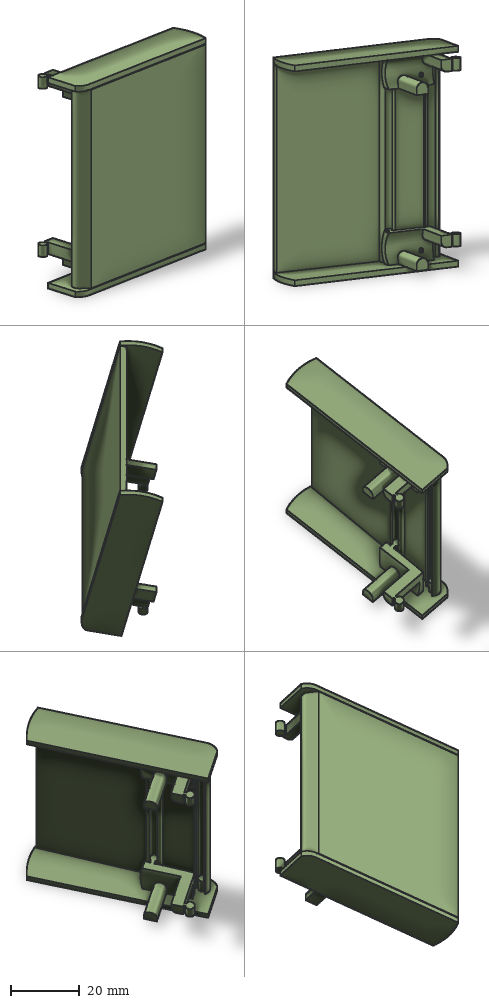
import cadquery as cq
import math


overall_height = 65.9
overall_depth = 55.8
overall_reach = 19.65
plate_thickness = 1.8
plate_width = 12.7
plate_bow = 1.1
corner_radius = 4.55
corner_start = 3.8
inner_half_height = overall_height / 2 - plate_thickness
peg_end = 26.35

panel_gap = 0.2
panel_half_height = inner_half_height - panel_gap
panel_top = overall_depth - plate_bow
panel_thickness = 2.0
panel_taper = 1.6
taper_slope = math.tan(math.radians(panel_taper))

channel_x = -3.95
channel_radius = 2.4
bore_radius = 1.25
peg_radius = 1.2
hinge_y = 4.1
hinge_lip_angle = 36.0
hinge_lip_rise = 0.45
socket_y = 18.65
lip_radius = 0.7

clip_height = 9.6
clip_bottoms = (21.35, -31.1)
base_start = 5.8
base_end = 20.95
base_end_bow = 0.8
base_front = -8.55
base_hollow = 0.8
base_back = -6.25
limb_root = -6.9
limb_tip = -19.25
arm_end = 9.4
arm_height = 3.7
arm_fillet = 2.0
pin_diameter = 2.7
pin_x = pin_diameter / 2 - overall_reach
pin_y = 3.95
pin_neck = 0.85
rest_y = 15.7
rest_width = 3.95
rest_height = 3.6
rest_straight = 1.8
hole_diameter = 1.4
hole_y = 9.7
hole_rise = 3.1
hole_floor = -6.9
plug_neck = 1.3


def block(x_range, y_range, z_range):
    """Axis-aligned box between pairs of coordinates."""
    lows, highs = zip(x_range, y_range, z_range)
    size = [high - low for low, high in zip(lows, highs)]
    return cq.Workplane("XY").box(*size, centered=False).translate(lows)


def rod(x, y, radius, z_low, z_high):
    """Vertical cylinder between two heights."""
    return cq.Workplane("XY", origin=(x, y, z_low)).circle(radius).extrude(z_high - z_low)


def panel_front(y):
    """X of the panel's tapering front face."""
    return -panel_thickness - (panel_top - y) * taper_slope


def make_plate(side):
    corner_drop = math.sqrt(corner_radius**2 - corner_start**2)
    corner_x = corner_drop - corner_radius
    middle = math.atan2(corner_start, corner_drop) / 2
    corner_middle = (
        corner_radius * (math.cos(middle) - 1),
        corner_start - corner_radius * math.sin(middle),
    )
    plate = (
        cq.Workplane("XY", origin=(0, 0, inner_half_height))
        .moveTo(-plate_width, 0)
        .lineTo(corner_x, 0)
        .threePointArc(corner_middle, (0, corner_start))
        .lineTo(0, panel_top)
        .threePointArc((-plate_width / 2, overall_depth), (-plate_width, panel_top))
        .close()
        .extrude(plate_thickness)
    )
    plate = plate.union(rod(channel_x, hinge_y, peg_radius, peg_end, overall_height / 2))
    return plate if side > 0 else plate.mirror("XY")


def extrude_panel(outline):
    return outline.extrude(2 * panel_half_height)


def panel_plane():
    return cq.Workplane("XY", origin=(0, 0, -panel_half_height))


def make_sheet():
    diagonal = channel_radius * math.sqrt(0.5)
    tangent_x = channel_x + diagonal
    tangent_y = hinge_y - diagonal
    return extrude_panel(
        panel_plane()
        .moveTo(0, panel_top)
        .lineTo(0, tangent_y - tangent_x)
        .lineTo(tangent_x, tangent_y)
        .lineTo(channel_x, hinge_y)
        .lineTo(panel_front(hinge_y), hinge_y)
        .lineTo(panel_front(panel_top), panel_top)
        .close()
    )


def add_hinge_channel(panel):
    tube = rod(channel_x, hinge_y, channel_radius, -panel_half_height, panel_half_height)
    lip_x = channel_x - hinge_lip_rise
    reach = 2 * channel_radius
    hook = math.radians(hinge_lip_angle)
    mouth = extrude_panel(
        panel_plane()
        .moveTo(channel_x, hinge_y)
        .lineTo(channel_x, hinge_y + bore_radius)
        .lineTo(lip_x, hinge_y + bore_radius + hinge_lip_rise)
        .lineTo(lip_x, hinge_y + reach)
        .lineTo(channel_x - reach, hinge_y + reach)
        .lineTo(channel_x - reach * math.cos(hook), hinge_y - reach * math.sin(hook))
        .close()
    )
    bore = rod(channel_x, hinge_y, bore_radius, -panel_half_height, panel_half_height)
    return panel.union(tube).cut(mouth).cut(bore)


def add_socket_channel(panel):
    wall_low = socket_y - channel_radius
    wall_high = socket_y + channel_radius
    z_range = (-panel_half_height, panel_half_height)
    panel = panel.union(block((channel_x, -panel_thickness), (wall_low, wall_high), z_range))
    for direction in (-1, 1):
        lip_y = socket_y + direction * (channel_radius - lip_radius)
        panel = panel.union(rod(channel_x, lip_y, lip_radius, *z_range))
    return panel.cut(rod(channel_x, socket_y, bore_radius, *z_range))


def make_panel():
    return add_socket_channel(add_hinge_channel(make_sheet()))


def clip_back(y):
    """X of the base's back face, which is parallel to the panel's front."""
    return base_back + (y - base_start) * taper_slope


def make_base():
    tip = base_end + base_end_bow
    side_outline = (
        cq.Workplane("YZ", origin=(base_front, 0, 0))
        .moveTo(base_start, 0)
        .lineTo(base_end, 0)
        .threePointArc((tip, clip_height / 2), (base_end, clip_height))
        .lineTo(base_start, clip_height)
        .close()
        .extrude(clip_back(tip) - base_front)
    )
    top_outline = (
        cq.Workplane("XY")
        .moveTo(base_front, base_start)
        .lineTo(clip_back(base_start), base_start)
        .lineTo(clip_back(tip), tip)
        .lineTo(base_front, tip)
        .close()
        .extrude(clip_height)
    )
    hollow = (
        cq.Workplane("XZ")
        .moveTo(base_front, 0)
        .threePointArc((base_front + base_hollow, clip_height / 2), (base_front, clip_height))
        .close()
        .extrude(-tip)
    )
    return side_outline.intersect(top_outline).cut(hollow)


def make_arm():
    arm_bottom = clip_height - arm_height
    arm = block((limb_tip, limb_root), (base_start, arm_end), (arm_bottom, clip_height))
    arm = arm.edges("|X and >Y and <Z").fillet(arm_fillet)
    neck_x = (pin_x - pin_neck / 2, pin_x + pin_neck / 2)
    neck = block(neck_x, (pin_y, base_start), (arm_bottom, clip_height))
    pin = rod(pin_x, pin_y, pin_diameter / 2, arm_bottom, clip_height)
    return arm.union(neck).union(pin)


def make_rest():
    half_width = rest_width / 2
    return (
        cq.Workplane("YZ", origin=(limb_tip, 0, 0))
        .moveTo(rest_y - half_width, 0)
        .lineTo(rest_y + half_width, 0)
        .lineTo(rest_y + half_width, rest_straight)
        .threePointArc((rest_y, rest_height), (rest_y - half_width, rest_straight))
        .close()
        .extrude(limb_root - limb_tip)
    )


def make_plug():
    neck_y = (socket_y - plug_neck / 2, socket_y + plug_neck / 2)
    neck = block((limb_root, channel_x), neck_y, (0, clip_height))
    return neck.union(rod(channel_x, socket_y, peg_radius, 0, clip_height))


def make_clip(bottom):
    hole = (
        cq.Workplane("YZ", origin=(base_front, hole_y, hole_rise))
        .circle(hole_diameter / 2)
        .extrude(hole_floor - base_front)
    )
    clip = make_base().union(make_arm()).union(make_rest()).union(make_plug()).cut(hole)
    return clip.translate((0, 0, bottom))


panel = make_panel()
plates = [make_plate(side) for side in (1, -1)]
clips = [make_clip(bottom) for bottom in clip_bottoms]

result = cq.Compound.makeCompound(
    [panel.val(), *[plate.val() for plate in plates], *[clip.val() for clip in clips]]
)